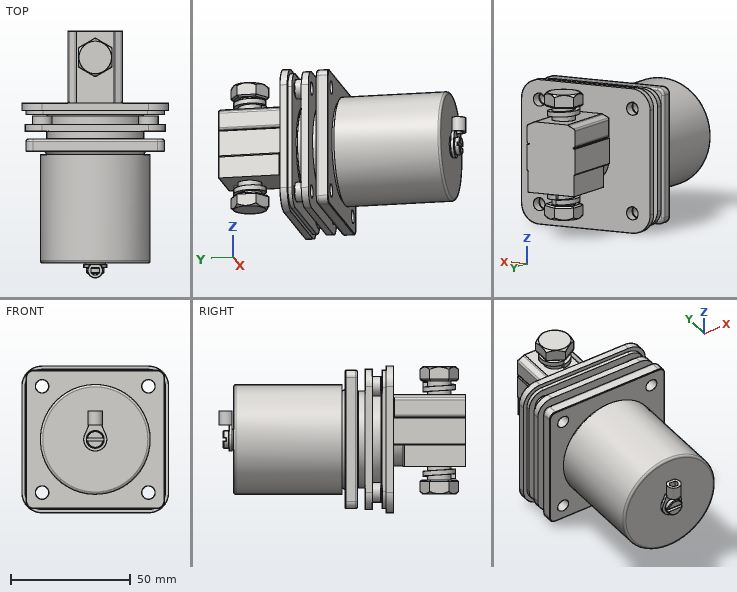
import cadquery as cq
import math


HOLE_OFFSET = 22.25
HOLE_DIAMETER = 5.5
REAR_SIZE = 61.5
REAR_THICKNESS = 3.1
REAR_CORNER = REAR_SIZE / 2 - HOLE_OFFSET
GASKET_SIZE = 58.0
GASKET_THICKNESS = 1.7
GASKET_CORNER = 7.2

SPACER_SIZE = 58.8
SPACER_PLATE_THICKNESS = 3.0
SPACER_CORNER = SPACER_SIZE / 2 - HOLE_OFFSET
SPACER_PLATE_BACK = 8.85
SPACER_BACK = 5.35
SPACER_DIAMETER = 8.25

FLANGE_SIZE = 58.0
FLANGE_BACK = 15.0
FLANGE_THICKNESS = 5.25
FLANGE_CORNER = 3.0
FLANGE_BACK_ROUND = 1.0
FLANGE_FRONT_CHAMFER = 0.3

COLLAR_RADIUS = 20.35
COLLAR_FRONT = 14.7
NECK_RADIUS = 20.2
CAP_NECK_BACK_RADIUS = 21.1
CAP_RADIUS = 23.0
CAP_BACK = 21.5
CAP_FRONT = 66.95
CAP_ROUND = 1.0

LUG_SEAT_RADIUS = 4.35
LUG_SEAT_THICKNESS = 0.6
LUG_THICKNESS = 1.3
LUG_EYE_RADIUS = 4.85
LUG_NECK_HALF_WIDTH = 2.65
TUBE_RADIUS = 3.1
TUBE_BORE_RADIUS = 1.85
TUBE_BOTTOM = 6.0
TUBE_LENGTH = 6.0
OVERALL_LENGTH = 103.34
SCREW_RADIUS = 3.7
SCREW_HEAD_HEIGHT = 2.5
SCREW_CHAMFER = 0.4
SCREW_FOOT_CHAMFER = 0.3
SLOT_WIDTH = 1.4
SLOT_DEPTH = 1.3

BLOCK_LENGTH = 30.2
BLOCK_HALF_WIDTH = 11.45
CLAMP_TOP = 18.9
CLAMP_BOTTOM = 9.3
CLAMP_CREST_HALF_WIDTH = 7.8
CREST_STEP_WIDTH = 0.6
CREST_STEP_DROP = 0.3
CLAMP_SHOULDER = 17.2
CLAMP_ROUND = 1.0
CLAMP_INSET = 0.4
CLAMP_ROOT_LENGTH = 0.5
MIDDLE_TOP = 8.9
MIDDLE_BOTTOM = -2.3
LOWER_BOTTOM = -11.35
LOWER_HALF_WIDTH = 11.05
LOWER_FRONT = 4.0
LOWER_CHAMFER = 0.5
ROD_RADIUS = 11.2

BOLT_Y = 19.15
BOLT_SHANK_RADIUS = 5.0
BOLT_STANDOFF = 5.65
BOLT_HEAD_HEIGHT = 5.9
BOLT_ACROSS_FLATS = 14.0
BOLT_ACROSS_CORNERS = BOLT_ACROSS_FLATS / math.cos(math.radians(30))
BOLT_CROWN_RADIUS = 6.8
BOLT_CROWN_DROP = 1.1
BOLT_FOOT_CHAMFER = 0.7
WASHER_RADIUS = 6.85
WASHER_THICKNESS = 2.0
WASHER_PITCH = 2.15
WASHER_TOP = 5.1
WASHER_SINK = 0.5


def section(depth):
    """Workplane across the axis, `depth` in front of Y = 0; extrudes toward -Y."""
    return cq.Workplane("XZ", origin=(0, -depth, 0))


def disc(radius, start, end):
    return section(start).circle(radius).extrude(end - start)


def square_plate(size, corner, start, thickness):
    plate = section(start).rect(size, size).extrude(thickness)
    return plate.edges("|Y").fillet(corner)


def hole_centres(plane):
    return plane.rect(2 * HOLE_OFFSET, 2 * HOLE_OFFSET, forConstruction=True).vertices()


def drill_mounting_holes(body):
    drills = hole_centres(section(0)).circle(HOLE_DIAMETER / 2).extrude(FLANGE_BACK + FLANGE_THICKNESS)
    return body.cut(drills)


def block_prism(half_width, bottom, top, front, back):
    size = (2 * half_width, back - front, top - bottom)
    return cq.Workplane("XY", origin=(0, (front + back) / 2, (bottom + top) / 2)).box(*size)


def make_clamp():
    """Upper clamp bar: flat crest, sloped shoulders, rounded sides."""
    step = CLAMP_CREST_HALF_WIDTH + CREST_STEP_WIDTH
    right_side = [
        (BLOCK_HALF_WIDTH, CLAMP_BOTTOM),
        (BLOCK_HALF_WIDTH, CLAMP_SHOULDER),
        (step, CLAMP_TOP - CREST_STEP_DROP),
        (CLAMP_CREST_HALF_WIDTH, CLAMP_TOP),
    ]
    left_side = [(-x, z) for x, z in reversed(right_side)]
    clamp = cq.Workplane("XZ").polyline(right_side + left_side).close()
    clamp = clamp.extrude(-BLOCK_LENGTH)
    for x in (-BLOCK_HALF_WIDTH, BLOCK_HALF_WIDTH):
        for z in (CLAMP_BOTTOM, CLAMP_SHOULDER):
            corner = cq.NearestToPointSelector((x, BLOCK_LENGTH / 2, z))
            clamp = clamp.edges("|Y").edges(corner).fillet(CLAMP_ROUND)
    for side in (-1, 1):
        recess = cq.Workplane("XY").box(CLAMP_INSET, CLAMP_ROOT_LENGTH, CLAMP_TOP - MIDDLE_TOP)
        recess = recess.translate((
            side * (BLOCK_HALF_WIDTH - CLAMP_INSET / 2),
            CLAMP_ROOT_LENGTH / 2,
            (CLAMP_TOP + MIDDLE_TOP) / 2,
        ))
        clamp = clamp.cut(recess)
    return clamp


def make_terminal_block():
    """Middle block on a round rod, with the lower block below and the clamp above."""
    middle = block_prism(BLOCK_HALF_WIDTH, MIDDLE_BOTTOM, MIDDLE_TOP, 0, BLOCK_LENGTH)
    middle = middle.faces("<Z").edges("|Y").chamfer(BLOCK_HALF_WIDTH - LOWER_HALF_WIDTH)
    foot = block_prism(BLOCK_HALF_WIDTH - 2 * CLAMP_INSET, MIDDLE_TOP, CLAMP_BOTTOM, 0, BLOCK_LENGTH)
    lower = block_prism(LOWER_HALF_WIDTH, LOWER_BOTTOM, MIDDLE_BOTTOM, LOWER_FRONT, BLOCK_LENGTH)
    lower = lower.faces("<Y").edges("|Z").chamfer(LOWER_CHAMFER)
    rod = disc(ROD_RADIUS, -LOWER_FRONT, 0)
    return middle.union(foot).union(lower).union(rod).union(make_clamp())


def make_spring_washer():
    """One helical turn, cut on the -Y side, rising from the +X side round to -X."""
    inner_radius = BOLT_SHANK_RADIUS - WASHER_SINK
    helix = cq.Wire.makeHelix(WASHER_PITCH, WASHER_PITCH, inner_radius)
    low_edge = WASHER_TOP - WASHER_PITCH - WASHER_THICKNESS
    profile = cq.Workplane("XZ").moveTo(inner_radius, 0).lineTo(WASHER_RADIUS, 0)
    profile = profile.lineTo(WASHER_RADIUS, WASHER_THICKNESS).lineTo(inner_radius, WASHER_THICKNESS).close()
    coil = profile.sweep(cq.Workplane(obj=helix), isFrenet=True)
    return coil.rotate((0, 0, 0), (0, 0, 1), -90).translate((0, 0, low_edge))


def make_bolt():
    """Hexagon bolt pointing down, with its spring washer; Z = 0 is the block surface."""
    head = cq.Workplane("XY", origin=(0, 0, BOLT_STANDOFF)).polygon(6, BOLT_ACROSS_CORNERS)
    head = head.extrude(BOLT_HEAD_HEIGHT).rotate((0, 0, 0), (0, 0, 1), 90)
    head = head.faces("<Z").edges().chamfer(BOLT_FOOT_CHAMFER)
    head_top = BOLT_STANDOFF + BOLT_HEAD_HEIGHT
    corner_radius = BOLT_ACROSS_CORNERS / 2
    crown = cq.Workplane("XZ").polyline([
        (0, BOLT_STANDOFF),
        (corner_radius, BOLT_STANDOFF),
        (corner_radius, head_top - BOLT_CROWN_DROP),
        (BOLT_CROWN_RADIUS, head_top),
        (0, head_top),
    ]).close().revolve(360, (0, 0, 0), (0, 1, 0))
    head = head.intersect(crown)
    shank = cq.Workplane("XY").circle(BOLT_SHANK_RADIUS).extrude(BOLT_STANDOFF)
    return head.union(shank).union(make_spring_washer())


def make_bolts():
    """Bolt on the clamp, and the same bolt turned about X under the block."""
    upper = make_bolt().translate((0, BOLT_Y, CLAMP_TOP))
    lower = make_bolt().rotate((0, 0, 0), (1, 0, 0), 180).translate((0, BOLT_Y, LOWER_BOTTOM))
    return upper, lower


def make_cap():
    """Cap cylinder with the tapered neck that joins it to the flange."""
    cap = disc(CAP_RADIUS, CAP_BACK, CAP_FRONT).faces("<Y").edges().fillet(CAP_ROUND)
    neck_back = FLANGE_BACK + FLANGE_THICKNESS
    neck = cq.Solid.makeCone(
        CAP_NECK_BACK_RADIUS,
        COLLAR_RADIUS,
        CAP_BACK - neck_back,
        pnt=cq.Vector(0, -neck_back, 0),
        dir=cq.Vector(0, -1, 0),
    )
    return cap.union(cq.Workplane(obj=neck))


def make_lug():
    """Crimp lug: round eye, tapered neck and a tube flattened against the plate."""
    back = CAP_FRONT + LUG_SEAT_THICKNESS
    front = back + LUG_THICKNESS
    tube_depth = OVERALL_LENGTH - BLOCK_LENGTH - TUBE_RADIUS
    seat = disc(LUG_SEAT_RADIUS, CAP_FRONT, back)
    eye = disc(LUG_EYE_RADIUS, back, front)
    reach = math.hypot(LUG_NECK_HALF_WIDTH, TUBE_BOTTOM)
    tangent = math.atan2(TUBE_BOTTOM, LUG_NECK_HALF_WIDTH) - math.acos(LUG_EYE_RADIUS / reach)
    tangent_x = LUG_EYE_RADIUS * math.cos(tangent)
    tangent_z = LUG_EYE_RADIUS * math.sin(tangent)
    neck = section(back).polyline([
        (-tangent_x, tangent_z),
        (tangent_x, tangent_z),
        (LUG_NECK_HALF_WIDTH, TUBE_BOTTOM),
        (-LUG_NECK_HALF_WIDTH, TUBE_BOTTOM),
    ]).close().extrude(LUG_THICKNESS)
    tube_plane = cq.Workplane("XY", origin=(0, -tube_depth, TUBE_BOTTOM))
    tube = tube_plane.circle(TUBE_RADIUS).extrude(TUBE_LENGTH)
    tube = tube.cut(disc(CAP_RADIUS, CAP_FRONT, back))
    bore = tube_plane.circle(TUBE_BORE_RADIUS).extrude(TUBE_LENGTH)
    bore = bore.cut(disc(CAP_RADIUS, CAP_FRONT, front))
    return seat.union(eye).union(neck).union(tube.cut(bore))


def make_screw():
    start = CAP_FRONT + LUG_SEAT_THICKNESS + LUG_THICKNESS
    end = start + SCREW_HEAD_HEIGHT
    head = disc(SCREW_RADIUS, start, end).faces("<Y").edges().chamfer(SCREW_CHAMFER)
    head = head.faces(">Y").edges().chamfer(SCREW_FOOT_CHAMFER)
    slot = section(end - SLOT_DEPTH).rect(2 * SCREW_RADIUS, SLOT_WIDTH).extrude(SLOT_DEPTH)
    return head.cut(slot)


def make_receptacle():
    """Rear plate with gasket, neck and the terminal block with its bolts."""
    rear = square_plate(REAR_SIZE, REAR_CORNER, 0, REAR_THICKNESS)
    gasket_front = REAR_THICKNESS + GASKET_THICKNESS
    gasket = square_plate(GASKET_SIZE, GASKET_CORNER, REAR_THICKNESS, GASKET_THICKNESS)
    receptacle = drill_mounting_holes(rear.union(gasket))
    receptacle = receptacle.union(disc(NECK_RADIUS, gasket_front, SPACER_BACK))
    receptacle = receptacle.union(make_terminal_block())
    for bolt in make_bolts():
        receptacle = receptacle.union(bolt)
    return receptacle


def make_spacer():
    """Plate with four round spacers and the central collar."""
    plate = square_plate(SPACER_SIZE, SPACER_CORNER, SPACER_PLATE_BACK, SPACER_PLATE_THICKNESS)
    spacers = hole_centres(section(SPACER_BACK)).circle(SPACER_DIAMETER / 2)
    spacers = spacers.extrude(SPACER_PLATE_BACK - SPACER_BACK)
    collar = disc(COLLAR_RADIUS, SPACER_BACK, COLLAR_FRONT)
    return drill_mounting_holes(plate.union(spacers)).union(collar)


def make_front_housing():
    """Front flange with its neck, the cap, and the lug and screw on the cap."""
    flange = square_plate(FLANGE_SIZE, FLANGE_CORNER, FLANGE_BACK, FLANGE_THICKNESS)
    flange = flange.faces(">Y").edges().fillet(FLANGE_BACK_ROUND)
    flange = flange.faces("<Y").edges().chamfer(FLANGE_FRONT_CHAMFER)
    flange = drill_mounting_holes(flange).union(disc(NECK_RADIUS, COLLAR_FRONT, FLANGE_BACK))
    return flange.union(make_cap()).union(make_lug()).union(make_screw())


receptacle = make_receptacle()
spacer = make_spacer()
front_housing = make_front_housing()

result = cq.Compound.makeCompound([
    receptacle.solids().val(),
    spacer.solids().val(),
    front_housing.solids().val(),
])